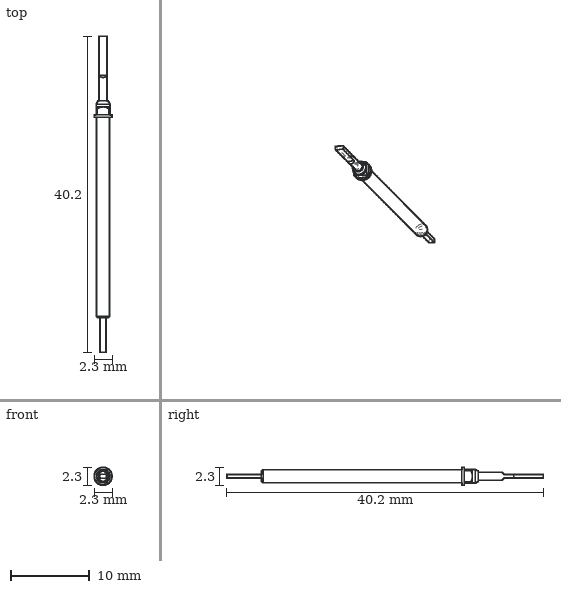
import cadquery as cq


length = 40.2
tip_y = length / 2
tail_y = -length / 2
blade_step_y = 16.32
blade_root_y = 15.1
head_y = 11.85
neck_y = 11.45
square_y = 11.1
flange_front_y = 10.1
flange_back_y = 9.75
barrel_chamfer_y = -15.48
barrel_end_y = -15.7

blade_tip_diameter = 1.1
plunger_diameter = 1.05
head_tip_diameter = 1.33
neck_diameter = 1.75
flange_diameter = 2.3
barrel_diameter = 1.7
barrel_end_diameter = 1.3
tail_diameter = 0.85

blade_thickness = 0.5
tail_thickness = blade_thickness
square_side = neck_diameter
square_chamfer_length = 0.2


def turned(profile):
    """Revolve (radius, y) points, listed from one end to the other, about the Y axis."""
    start_y = profile[0][1]
    end_y = profile[-1][1]
    outline = [(0, start_y)] + profile + [(0, end_y)]
    return cq.Workplane("XY").polyline(outline).close().revolve(360, (0, 0, 0), (0, 1, 0))


def block(width, height, start_y, end_y):
    """Box centred on the axis between two stations."""
    return (
        cq.Workplane("XY")
        .box(width, end_y - start_y, height)
        .translate((0, (start_y + end_y) / 2, 0))
    )


def make_barrel():
    """Solid round barrel, tapered at the tail end and flanged at the other."""
    barrel_radius = barrel_diameter / 2
    flange_radius = flange_diameter / 2
    return turned([
        (barrel_end_diameter / 2, barrel_end_y),
        (barrel_radius, barrel_chamfer_y),
        (barrel_radius, flange_back_y),
        (flange_radius, flange_back_y),
        (flange_radius, flange_front_y),
    ])


def make_head():
    """Tapered round neck that flares into a square with corners rounded to the flange."""
    neck_radius = neck_diameter / 2
    corner_radius = flange_diameter / 2
    blank = turned([
        (corner_radius, flange_front_y),
        (corner_radius, square_y - square_chamfer_length),
        (neck_radius, square_y),
        (neck_radius, neck_y),
        (head_tip_diameter / 2, head_y),
    ])
    return blank.intersect(block(square_side, square_side, flange_front_y, head_y))


def make_plunger():
    """Stepped round plunger thinned to a flat blade, with 45 degree shoulders at its root."""
    radius = plunger_diameter / 2
    half_blade = blade_thickness / 2
    shoulder_y = blade_root_y - (radius - half_blade)
    tip_radius = blade_tip_diameter / 2
    rod = turned([
        (radius, head_y),
        (radius, blade_step_y),
        (tip_radius, blade_step_y),
        (tip_radius, tip_y),
    ])
    side_outline = [
        (head_y, -radius),
        (shoulder_y, -radius),
        (blade_root_y, -half_blade),
        (tip_y, -half_blade),
        (tip_y, half_blade),
        (blade_root_y, half_blade),
        (shoulder_y, radius),
        (head_y, radius),
    ]
    side_shape = cq.Workplane("YZ").polyline(side_outline).close().extrude(tip_radius, both=True)
    return rod.intersect(side_shape)


def make_tail():
    """Round pin with a flat above and below."""
    radius = tail_diameter / 2
    pin = turned([(radius, tail_y), (radius, barrel_end_y)])
    return pin.intersect(block(tail_diameter, tail_thickness, tail_y, barrel_end_y))


result = make_barrel().union(make_head()).union(make_plunger()).union(make_tail())